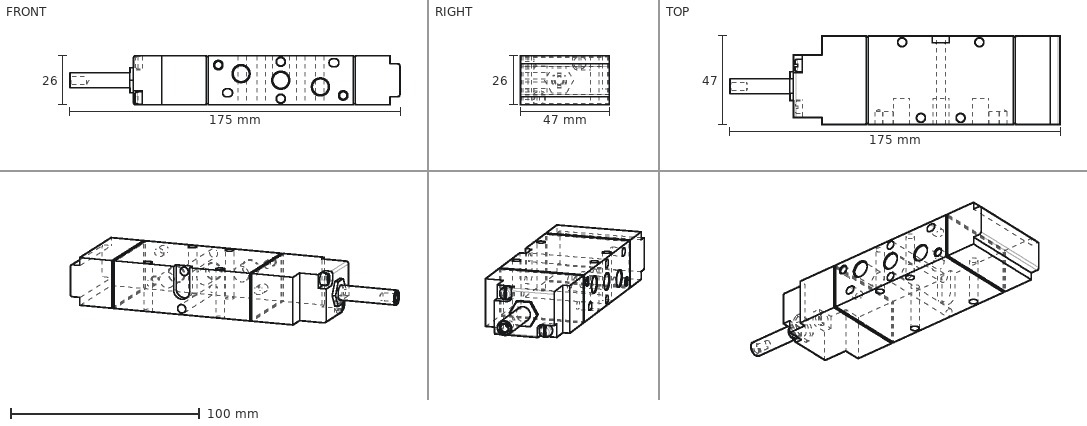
import cadquery as cq
import math

length = 175.0
width = 47.0
height = 26.0
half_width = width / 2
half_height = height / 2

nut_start = 31.8
solenoid_start = 33.8
pilot_start = 48.8
pilot_end = 72.3
body_start = 73.3
body_end = 150.3
cap_start = 151.4
cap_end = 169.8
body_center = (body_start + body_end) / 2

joint_inset = 0.5
edge_radius = 1.2

tab_height = 17.5

solenoid_width = 33.2
axis_y = -3.2
cable_diameter = 8.0
cable_chamfer = 0.4
cable_bore = 4.2
cable_bore_mouth = 5.2
cable_bore_depth = 8.8
nut_across_flats = 13.3

screw_offset_y = 11.0
screw_offset_z = 9.5
head_diameter = 6.6
head_height = 3.5
head_radius = 0.9
head_slot_width = 1.2
head_slot_depth = 1.2
pocket_depth = 4.5
pocket_half_width = 3.8
pocket_radius = 2.8

port_diameter = 8.5
port_mouth = 9.5
port_spacing = 21.0
port_step = 3.5
port_depth = 14.0

mount_diameter = 4.5
cross_hole_z = 9.8
rear_mount_offset = 20.5
rear_mount_y = 20.1
front_mount_offset = 10.5
front_mount_y = -20.0

pilot_hole_diameter = 4.0
pilot_hole_mouth = 4.9
pilot_hole_depth = 7.0
pilot_hole_offset = 33.0
pilot_hole_z = 8.0
drill_half_angle = 59.0

oblong_length = 5.2
oblong_height = 4.2
oblong_depth = 7.0
oblong_places = [
    (-28.2, -6.6),
    (28.2, 9.3),
]

notch_width = 9.1
notch_depth = 3.7


def block(x_start, x_end, y_size, z_size, y_center=0.0):
    """Box between two X stations, centered on Z = 0."""
    box = cq.Workplane("XY").box(x_end - x_start, y_size, z_size, centered=(False, True, True))
    return box.translate((x_start, y_center, 0))


def rod_x(x_start, rod_length, diameter, y, z):
    """Round rod along +X."""
    return cq.Workplane("YZ", origin=(x_start, y, z)).circle(diameter / 2).extrude(rod_length)


def front_face(x, z):
    """Workplane on the -Y face, facing into the part."""
    return cq.Workplane(cq.Plane(origin=(x, -half_width, z), xDir=(1, 0, 0), normal=(0, 1, 0)))


def hole_cutter(diameter, mouth, depth, bottom_angle=90.0):
    """Cutter along +Y with a 45 degree countersink and a cone bottom of the given half angle."""
    radius = diameter / 2
    mouth_radius = mouth / 2
    tip = radius / math.tan(math.radians(bottom_angle))
    return (
        cq.Workplane("XY")
        .lineTo(mouth_radius, 0)
        .lineTo(radius, mouth_radius - radius)
        .lineTo(radius, depth)
        .lineTo(0, depth + tip)
        .close()
        .revolve(360, (0, 0), (0, 1))
    )


def make_blocks():
    """Pilot head, valve body and end cap, joined by a slightly smaller core."""
    core = block(pilot_start, cap_end, width - 2 * joint_inset, height - 2 * joint_inset)
    tab = block(cap_start, length, width, tab_height).edges("|Y and >X").fillet(edge_radius)
    blocks = core.union(tab)
    for x_start, x_end in [(pilot_start, pilot_end), (body_start, body_end), (cap_start, cap_end)]:
        blocks = blocks.union(block(x_start, x_end, width, height))
    return blocks


def make_screw_pocket():
    """Corner pocket for the screw on the +Y, +Z side of the solenoid."""
    y_inner = axis_y + screw_offset_y - pocket_half_width
    z_inner = screw_offset_z - pocket_half_width
    pocket = (
        cq.Workplane("YZ", origin=(solenoid_start, y_inner, z_inner))
        .rect(width, height, centered=False)
        .extrude(pocket_depth)
    )
    return pocket.edges("|X and <Y and <Z").fillet(pocket_radius)


def make_screw():
    """Slotted screw head standing on the floor of its pocket."""
    y = axis_y + screw_offset_y
    head_start = solenoid_start + pocket_depth - head_height
    head = rod_x(head_start, head_height, head_diameter, y, screw_offset_z)
    head = head.faces("<X").edges().fillet(head_radius)
    slot = block(head_start, head_start + head_slot_depth, head_slot_width, head_diameter, y)
    return head.cut(slot.translate((0, 0, screw_offset_z)))


def turned_over(shape):
    """Half turn about the solenoid axis."""
    return shape.rotate((0, axis_y, 0), (1, axis_y, 0), 180)


def make_solenoid():
    """Solenoid box with rounded front edges and its two screws."""
    solenoid = block(solenoid_start, pilot_start, solenoid_width, height, axis_y)
    solenoid = solenoid.edges("|Y and <X").fillet(edge_radius)
    pocket = make_screw_pocket()
    screw = make_screw()
    solenoid = solenoid.cut(pocket).cut(turned_over(pocket))
    return solenoid.union(screw).union(turned_over(screw))


def make_cable():
    """Nut and cable stub on the solenoid axis, with a drilled cable end."""
    nut_across_corners = nut_across_flats / math.cos(math.radians(30))
    nut = (
        cq.Workplane("YZ", origin=(nut_start, axis_y, 0))
        .polygon(6, nut_across_corners)
        .extrude(solenoid_start - nut_start)
    )
    cable = rod_x(0, solenoid_start, cable_diameter, axis_y, 0).faces("<X").chamfer(cable_chamfer)
    bore = hole_cutter(cable_bore, cable_bore_mouth, cable_bore_depth, drill_half_angle)
    bore = bore.rotate((0, 0, 0), (0, 0, 1), -90).translate((0, axis_y, 0))
    return nut.union(cable).cut(bore)


def cut_ports(part):
    """Three countersunk blind ports, each lower than the one before."""
    port = hole_cutter(port_diameter, port_mouth, port_depth)
    for index in (-1, 0, 1):
        x = body_center + index * port_spacing
        part = part.cut(port.translate((x, -half_width, -index * port_step)))
    return part


def cut_mounting_holes(part):
    """Cross holes along Y and vertical holes along Z, all right through."""
    for z in (-cross_hole_z, cross_hole_z):
        part = part.cut(front_face(body_center, z).circle(mount_diameter / 2).extrude(width))
    for offset, y in [(rear_mount_offset, rear_mount_y), (front_mount_offset, front_mount_y)]:
        for x in (body_center - offset, body_center + offset):
            hole = cq.Workplane("XY", origin=(x, y, -half_height)).circle(mount_diameter / 2).extrude(height)
            part = part.cut(hole)
    return part


def cut_corner_holes(part):
    """Drilled and oblong blind holes in the corners of the -Y face."""
    hole = hole_cutter(pilot_hole_diameter, pilot_hole_mouth, pilot_hole_depth, drill_half_angle)
    for side in (-1, 1):
        place = (body_center + side * pilot_hole_offset, -half_width, -side * pilot_hole_z)
        part = part.cut(hole.translate(place))
    for offset, z in oblong_places:
        face = front_face(body_center + offset, z)
        part = part.cut(face.slot2D(oblong_length, oblong_height).extrude(oblong_depth))
    return part


def cut_notch(part):
    """Round-bottomed notch in the +Y face: a half circle centered on Z = 0, open straight up."""
    plane = cq.Plane(origin=(body_center, half_width - notch_depth, 0), xDir=(1, 0, 0), normal=(0, -1, 0))
    radius = notch_width / 2
    notch = (
        cq.Workplane(plane)
        .moveTo(-radius, half_height)
        .lineTo(-radius, 0)
        .threePointArc((0, -radius), (radius, 0))
        .lineTo(radius, half_height)
        .close()
        .extrude(-notch_depth)
    )
    return part.cut(notch)


result = make_blocks().union(make_solenoid()).union(make_cable())
result = cut_ports(result)
result = cut_mounting_holes(result)
result = cut_corner_holes(result)
result = cut_notch(result)